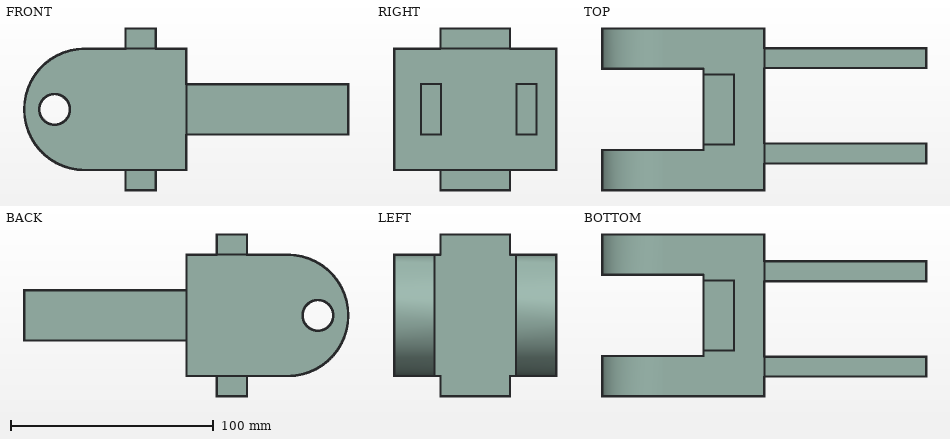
import cadquery as cq

total_length = 160.0
body_length = total_length / 2
body_width = 80.0
body_height = 60.0
nose_radius = body_height / 2
slot_width = body_width / 2
slot_depth = 50.0

hole_diameter = 15.0
hole_from_nose = 15.0

bar_thickness = 15.0
bar_width = 34.4
bar_height = 80.0

prong_thickness = 10.0
prong_height = 25.0
back_prong_inset = 9.8
front_prong_inset = 13.3

nose_center_x = nose_radius
half_width = body_width / 2


def box(x_start, length, y_center, width, height):
    """Box that starts at x_start and is centred on Z = 0."""
    return (
        cq.Workplane("XY")
        .box(length, width, height, centered=(False, True, True))
        .translate((x_start, y_center, 0))
    )


def clevis_body():
    profile = (
        cq.Workplane("XZ")
        .moveTo(body_length, -nose_radius)
        .lineTo(body_length, nose_radius)
        .lineTo(nose_center_x, nose_radius)
        .threePointArc((0, 0), (nose_center_x, -nose_radius))
        .close()
    )
    body = profile.extrude(half_width, both=True)
    slot = box(0, slot_depth, 0, slot_width, body_height)
    hole = (
        cq.Workplane("XZ")
        .center(hole_from_nose, 0)
        .circle(hole_diameter / 2)
        .extrude(half_width, both=True)
    )
    return body.cut(slot).cut(hole)


def prong(y_center):
    return box(body_length, total_length - body_length, y_center, prong_thickness, prong_height)


back_prong_y = half_width - back_prong_inset - prong_thickness / 2
front_prong_y = -half_width + front_prong_inset + prong_thickness / 2

result = clevis_body().union(box(slot_depth, bar_thickness, 0, bar_width, bar_height))
for prong_y in (back_prong_y, front_prong_y):
    result = result.union(prong(prong_y))